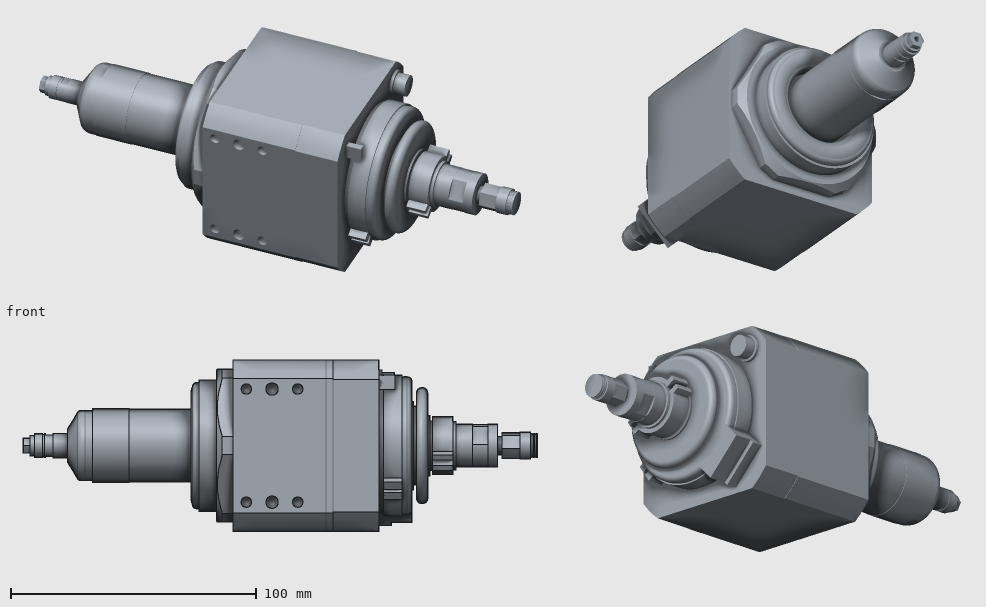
import cadquery as cq
import math


block_width = 70.0
block_start = 85.5
band_start = 123.3
band_end = 126.2
block_end = 144.9
block_corner_radius = 44.4
end_corner_radius = 44.2

hole_row_height = 23.0
dowel_x = 101.3
dowel_diameter = 5.0
screw_hole_offset = 10.5
screw_hole_diameter = 4.2
side_hole_depth = 6.3
drill_point_angle = 118.0

nut_start = 78.7
nut_across_flats = 62.4
nut_across_corners = 67.8
nut_face_radius = 30.8
nut_chamfer_length = 2.3
flange_start = 71.5
flange_radius = 26.8
lip_face = 68.9
lip_crest = 68.2
lip_base_radius = 25.7
lip_outer_radius = 23.9
lip_crest_radius = 21.0
lip_inner_radius = 18.0
mouth_radius = 16.0
mouth_bottom = 73.7

cap_neck_radius = 27.6
ring_start = 146.7
ring_end = 154.3
ring_radius = 28.7
cap_end = 158.3
cap_radius = 28.0
cap_fillet = 1.9
ring_ear_angle = 36.0
ring_ear_reach = 31.5
ring_ear_width = 8.8
ring_ear_slit = 1.7

head_offset = 25.3
head_diameter = 9.0
head_end = 151.1
washer_diameter = 11.0
washer_end = 146.1

stop_y = -25.7
stop_z = 22.8
stop_thickness = 2.7
stop_height = 5.9
stop_end = 151.4

lug_angle = -45.0
lug_width = 21.0
lug_foot_reach = 35.5
lug_foot_end = 149.9
lug_reach = 33.7

tube_radius = 14.9
tube_seam = 43.1
nose_seat = 28.3
nose_line = 25.1
nose_cone_end = 22.2
nose_cone_radius = 13.6
sleeve_radius = 15.0
nose_rim = 23.9
nose_rim_radius = 14.7
nose_start = 18.0
nose_start_radius = 6.7
nose_flat_height = 14.2
nose_flat_start = 21.4

collet_radius = 9.8 / 2
stem_radius = 5.0
collet_flat_start = 9.0
collet_flat_end = 12.1
collet_across_flats = 8.8
collet_nut_start = 4.6
collet_groove_start = 8.0
collet_groove_end = 8.5
collet_groove_radius = 4.6
collet_face = 2.7
collet_face_radius = 4.2
tip_hex_corners = 7.1
tip_bore_diameter = 2.5
tip_bore_depth = 2.7

disc_end = 158.9
disc_radius = 18.0
neck_radius = 16.1
bead_center = 162.5
bead_half_width = 2.3
bead_outer_radius = 23.7
hub_end = 165.5
hub_radius = 12.4
waist_radius = 10.0
collar_start = 166.6
collar_end = 175.0
collar_radius = 23.7 / 2
collar_ear_angle = 29.0
collar_ear_reach = 14.5
collar_ear_width = 7.1
collar_ear_slit = 2.5
shoulder_end = 176.3
shoulder_radius = 9.8
tail_radius = 17.5 / 2
tail_band_radius = 17.4 / 2
tail_end = 193.2
tail_flat_start = 183.0
tail_flat_end = 189.2
tail_across_flats = 15.0
tail_flat_angle = 33.0
rear_neck_radius = 3.8
rear_hex_start = 195.0
rear_hex_end = 202.2
rear_nut_radius = 11.0 / 2
rear_hex_angle = 12.0
rear_nut_end = 206.6
rear_tip_radius = 9.8 / 2
tip_groove_count = 2
tip_groove_depth = 0.2
total_length = 209.3

cut_clearance = 2.0

x_plane = cq.Workplane("YZ")


def cylinder(start, end, radius, y=0.0, z=0.0):
    """Cylinder parallel to X between two stations."""
    return x_plane.workplane(offset=start).center(y, z).circle(radius).extrude(end - start)


def hexagon(start, end, corner_diameter, angle):
    """Hexagonal prism along X with one corner turned by angle from +Y."""
    prism = x_plane.workplane(offset=start).polygon(6, corner_diameter).extrude(end - start)
    return prism.rotate((0, 0, 0), (1, 0, 0), angle)


def radial_bar(start, end, reach, width, angle):
    """Bar from the axis outwards, turned by angle from +Y."""
    bar = cq.Workplane("XY").box(end - start, reach, width, centered=(False, False, True))
    return bar.translate((start, 0, 0)).rotate((0, 0, 0), (1, 0, 0), angle)


def wrench_flats(start, end, radius, across, angle):
    """Material to cut from a shaft to leave two opposite flats whose normal is at angle from +Y."""
    sleeve = cylinder(start, end, radius + cut_clearance)
    core = radial_bar(start, end, 4 * radius, across, angle + 90)
    core = core.union(radial_bar(start, end, 4 * radius, across, angle - 90))
    return sleeve.cut(core)


def block_plate(start, end, corner_radius):
    """Square plate whose four corners are turned to a radius."""
    square = x_plane.workplane(offset=start).rect(block_width, block_width).extrude(end - start)
    return square.intersect(cylinder(start, end, corner_radius))


def blind_hole(x, z, diameter):
    """Drilled hole with a conical bottom, entering the -Y side of the block."""
    face_y = -block_width / 2
    radius = diameter / 2
    point_length = radius / math.tan(math.radians(drill_point_angle / 2))
    profile = (
        cq.Workplane("XY")
        .moveTo(x, face_y)
        .lineTo(x + radius, face_y)
        .lineTo(x + radius, face_y + side_hole_depth)
        .lineTo(x, face_y + side_hole_depth + point_length)
        .close()
    )
    return profile.revolve(360, (x, 0, 0), (x, 1, 0)).translate((0, 0, z))


def make_block():
    block = block_plate(block_start, band_start, block_corner_radius)
    for z in (-hole_row_height, hole_row_height):
        block = block.cut(blind_hole(dowel_x, z, dowel_diameter))
        for side in (-1, 1):
            block = block.cut(blind_hole(dowel_x + side * screw_hole_offset, z, screw_hole_diameter))
    band = block_plate(band_start, band_end, block_corner_radius)
    end_plate = block_plate(band_end, block_end, end_corner_radius)
    return block.union(band, clean=False).union(end_plate, clean=False)


def make_nut():
    """Lock nut: hexagon with corners cut flat and a conical chamfer on its front face."""
    corner_trim = hexagon(nut_start, block_start, nut_across_corners / math.cos(math.pi / 6), 30)
    nut = hexagon(nut_start, block_start, nut_across_flats / math.cos(math.pi / 6), 0)
    chamfer_radius = nut_across_corners / 2
    back_radius = nut_across_corners
    envelope = (
        cq.Workplane("XY")
        .moveTo(nut_start, 0)
        .lineTo(nut_start, nut_face_radius)
        .lineTo(nut_start + nut_chamfer_length, chamfer_radius)
        .lineTo(nut_start + nut_chamfer_length, back_radius)
        .lineTo(block_start, back_radius)
        .lineTo(block_start, 0)
        .close()
        .revolve(360, (0, 0, 0), (1, 0, 0))
    )
    return nut.intersect(corner_trim).intersect(envelope)


def make_flange():
    """Round flange with a rolled lip around the mouth from which the spindle emerges."""
    outer_round = lip_base_radius - lip_outer_radius
    inner_round = lip_inner_radius - mouth_radius
    mid_gap = 1 - math.sqrt(0.5)
    outer_mid = (lip_face + mid_gap * outer_round, lip_base_radius - mid_gap * outer_round)
    inner_mid = (lip_face + mid_gap * inner_round, mouth_radius + mid_gap * inner_round)
    return (
        cq.Workplane("XY")
        .moveTo(nut_start, tube_radius)
        .lineTo(nut_start, flange_radius)
        .lineTo(flange_start, flange_radius)
        .lineTo(flange_start, lip_base_radius)
        .lineTo(lip_face + outer_round, lip_base_radius)
        .threePointArc(outer_mid, (lip_face, lip_outer_radius))
        .threePointArc((lip_crest, lip_crest_radius), (lip_face, lip_inner_radius))
        .threePointArc(inner_mid, (lip_face + inner_round, mouth_radius))
        .lineTo(mouth_bottom, mouth_radius)
        .lineTo(mouth_bottom, tube_radius)
        .close()
        .revolve(360, (0, 0, 0), (1, 0, 0))
    )


def make_rear_cap():
    """Rear cap with a slit clamp ring, a clamping screw, a stop and a diagonal lug."""
    ear_angle = 180 + ring_ear_angle
    ear = radial_bar(ring_start, ring_end, ring_ear_reach, ring_ear_width, ear_angle)
    slit = radial_bar(ring_start, ring_end, ring_ear_reach + cut_clearance, ring_ear_slit, ear_angle)
    ring = cylinder(ring_start, ring_end, ring_radius).union(ear)
    ring = ring.cut(slit.cut(cylinder(ring_start, ring_end, cap_neck_radius)))
    cap = cylinder(ring_end, cap_end, cap_radius).faces(">X").edges().fillet(cap_fillet)
    cap = cap.union(cylinder(block_end, ring_start, cap_neck_radius)).union(ring)
    cap = cap.union(cylinder(block_end, washer_end, washer_diameter / 2, head_offset, head_offset))
    cap = cap.union(cylinder(block_end, head_end, head_diameter / 2, head_offset, head_offset))
    stop = cq.Workplane("XY").box(stop_end - block_end, stop_thickness, stop_height, centered=False)
    cap = cap.union(stop.translate((block_end, stop_y, stop_z)))
    cap = cap.union(radial_bar(block_end, lug_foot_end, lug_foot_reach, lug_width, lug_angle))
    return cap.union(radial_bar(block_end, cap_end, lug_reach, lug_width, lug_angle))


def make_housing():
    housing = make_block().union(make_nut(), clean=False).union(make_flange(), clean=False)
    housing = housing.union(make_rear_cap(), clean=False)
    return housing.cut(cylinder(mouth_bottom, cap_end, tube_radius), clean=False)


def make_spindle_core():
    """Turned shape of the spindle from the collet face to the tail."""
    bead_center_radius = bead_outer_radius - bead_half_width
    return (
        cq.Workplane("XY")
        .moveTo(collet_face, 0)
        .lineTo(collet_face, collet_face_radius)
        .lineTo(collet_nut_start, collet_face_radius)
        .lineTo(collet_nut_start, collet_radius)
        .lineTo(collet_groove_start, collet_radius)
        .lineTo(collet_groove_start, collet_groove_radius)
        .lineTo(collet_groove_end, collet_groove_radius)
        .lineTo(collet_groove_end, collet_radius)
        .lineTo(collet_flat_end, collet_radius)
        .lineTo(collet_flat_end, stem_radius)
        .lineTo(nose_start, stem_radius)
        .lineTo(nose_start, nose_start_radius)
        .lineTo(nose_cone_end, nose_cone_radius)
        .threePointArc((nose_rim, nose_rim_radius), (nose_line, tube_radius))
        .lineTo(nose_seat, tube_radius)
        .lineTo(nose_seat, sleeve_radius)
        .lineTo(tube_seam, sleeve_radius)
        .lineTo(tube_seam, tube_radius)
        .lineTo(cap_end, tube_radius)
        .lineTo(cap_end, disc_radius)
        .lineTo(disc_end, disc_radius)
        .lineTo(disc_end, neck_radius)
        .lineTo(bead_center - bead_half_width, neck_radius)
        .lineTo(bead_center - bead_half_width, bead_center_radius)
        .threePointArc(
            (bead_center, bead_outer_radius),
            (bead_center + bead_half_width, bead_center_radius),
        )
        .lineTo(bead_center + bead_half_width, hub_radius)
        .lineTo(hub_end, hub_radius)
        .lineTo(hub_end, waist_radius)
        .lineTo(collar_start, waist_radius)
        .lineTo(collar_start, collar_radius)
        .lineTo(collar_end, collar_radius)
        .lineTo(collar_end, shoulder_radius)
        .lineTo(shoulder_end, shoulder_radius)
        .lineTo(shoulder_end, tail_radius)
        .lineTo(tail_flat_start, tail_radius)
        .lineTo(tail_flat_start, tail_band_radius)
        .lineTo(tail_flat_end, tail_band_radius)
        .lineTo(tail_flat_end, tail_radius)
        .lineTo(tail_end, tail_radius)
        .lineTo(tail_end, rear_neck_radius)
        .lineTo(rear_hex_start, rear_neck_radius)
        .lineTo(rear_hex_start, rear_nut_radius)
        .lineTo(rear_nut_end, rear_nut_radius)
        .lineTo(rear_nut_end, rear_tip_radius)
        .lineTo(total_length, rear_tip_radius)
        .lineTo(total_length, 0)
        .close()
        .revolve(360, (0, 0, 0), (1, 0, 0))
    )


def make_spindle():
    spindle = make_spindle_core()
    flats = [
        wrench_flats(nose_flat_start, nose_seat, tube_radius, 2 * nose_flat_height, 90),
        wrench_flats(collet_flat_start, collet_flat_end, collet_radius, collet_across_flats, 90),
        wrench_flats(tail_flat_start, tail_flat_end, tail_radius, tail_across_flats, -tail_flat_angle),
    ]
    rear_sleeve = cylinder(rear_hex_start, rear_hex_end, rear_nut_radius + cut_clearance)
    flats.append(rear_sleeve.cut(hexagon(rear_hex_start, rear_hex_end, 2 * rear_nut_radius, rear_hex_angle)))
    for cutter in flats:
        spindle = spindle.cut(cutter, clean=False)
    groove_width = (total_length - rear_nut_end) / (2 * tip_groove_count + 1)
    for index in range(tip_groove_count):
        groove_start = rear_nut_end + (2 * index + 1) * groove_width
        groove_end = groove_start + groove_width
        groove = cylinder(groove_start, groove_end, rear_tip_radius + cut_clearance)
        groove = groove.cut(cylinder(groove_start, groove_end, rear_tip_radius - tip_groove_depth))
        spindle = spindle.cut(groove, clean=False)
    for angle in (collar_ear_angle, 180 + collar_ear_angle):
        ear = radial_bar(collar_start, collar_end, collar_ear_reach, collar_ear_width, angle)
        slit = radial_bar(collar_start, collar_end, collar_ear_reach + cut_clearance, collar_ear_slit, angle)
        spindle = spindle.union(ear, clean=False)
        spindle = spindle.cut(slit.cut(cylinder(collar_start, collar_end, shoulder_radius)), clean=False)
    spindle = spindle.union(hexagon(0, collet_face, tip_hex_corners, 0), clean=False)
    return spindle.cut(cylinder(0, tip_bore_depth, tip_bore_diameter / 2), clean=False)


housing = make_housing()
spindle = make_spindle()

result = cq.Compound.makeCompound([housing.val(), spindle.val()])